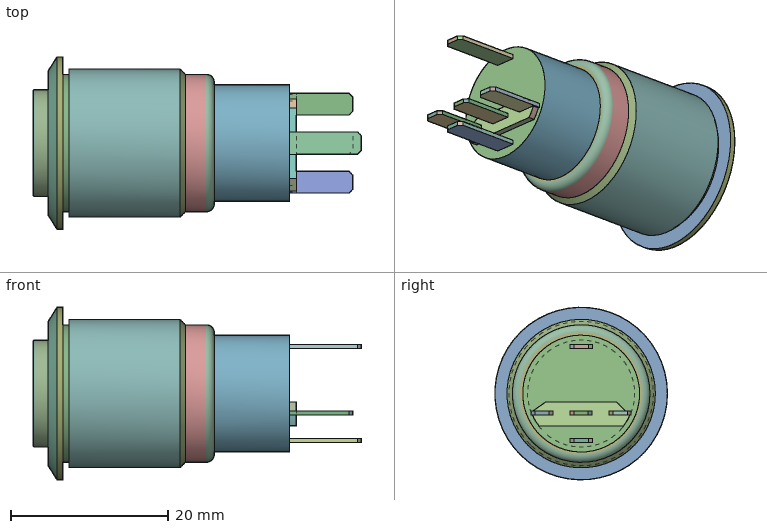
import cadquery as cq
import math

length = 41.8
flange_front = 1.92
bevel_end = 3.05
flange_back = 3.8
neck_end = 4.55
barrel_end = 19.4
collar_end = 23.07
base_end = 32.65

button_dia = 13.63
bevel_dia = 18.4
flange_dia = 22.0
neck_dia = 17.5
barrel_dia = 18.9
collar_dia = neck_dia
base_dia = 14.9

button_edge = 0.2
barrel_chamfer = (barrel_dia - collar_dia) / 2
collar_fillet = 1.0

blade_thickness = 0.55
blade_corner = 0.5
long_blade_width = 2.9
long_blade_offset = 5.98
short_blade_width = 2.8
short_blade_end = 40.7
short_blade_y = 4.97
short_blade_z = -2.45

pad_height = 0.88
pad_radius = 6.77
pad_top_z = -1.05
pad_bottom_z = -4.1
pad_top_half_width = 4.47
pad_slope_plus_y = 45.0
pad_slope_minus_y = 35.0


def turned_body():
    """Button, bevelled flange, barrel, collar and base as one revolved outline."""
    outline = (
        cq.Workplane("XY")
        .lineTo(0, button_dia / 2 - button_edge)
        .radiusArc((button_edge, button_dia / 2), button_edge)
        .lineTo(flange_front, button_dia / 2)
        .lineTo(flange_front, bevel_dia / 2)
        .lineTo(bevel_end, flange_dia / 2)
        .lineTo(flange_back, flange_dia / 2)
        .lineTo(flange_back, neck_dia / 2)
        .lineTo(neck_end, neck_dia / 2)
        .lineTo(neck_end, barrel_dia / 2)
        .lineTo(barrel_end - barrel_chamfer, barrel_dia / 2)
        .lineTo(barrel_end, collar_dia / 2)
        .lineTo(collar_end - collar_fillet, collar_dia / 2)
        .radiusArc((collar_end, collar_dia / 2 - collar_fillet), collar_fillet)
        .lineTo(collar_end, base_dia / 2)
        .lineTo(base_end, base_dia / 2)
        .lineTo(base_end, 0)
        .close()
    )
    return outline.revolve(360, (0, 0, 0), (1, 0, 0))


def blade(tip_x, width, y, z):
    """Flat terminal from the rear face to tip_x, with its two tip corners cut off."""
    blade_length = tip_x - base_end
    return (
        cq.Workplane("XY")
        .box(blade_length, width, blade_thickness, centered=(False, True, True))
        .edges("|Z and >X")
        .chamfer(blade_corner)
        .translate((base_end, y, z))
    )


def rear_pad():
    """Low pad with sloping shoulders, trimmed at its ends by a circle about the axis."""
    drop = pad_top_z - pad_bottom_z
    run_plus_y = drop / math.tan(math.radians(pad_slope_plus_y))
    run_minus_y = drop / math.tan(math.radians(pad_slope_minus_y))
    rear_face = cq.Workplane("YZ", origin=(base_end, 0, 0))
    block = rear_face.polyline(
        [
            (-pad_top_half_width, pad_top_z),
            (pad_top_half_width, pad_top_z),
            (pad_top_half_width + run_plus_y, pad_bottom_z),
            (-pad_top_half_width - run_minus_y, pad_bottom_z),
        ]
    ).close().extrude(pad_height)
    return block.intersect(rear_face.circle(pad_radius).extrude(pad_height))


result = turned_body().union(rear_pad())

for z in (long_blade_offset, -long_blade_offset):
    result = result.union(blade(length, long_blade_width, 0, z))

for y in (-short_blade_y, 0, short_blade_y):
    result = result.union(blade(short_blade_end, short_blade_width, y, short_blade_z))